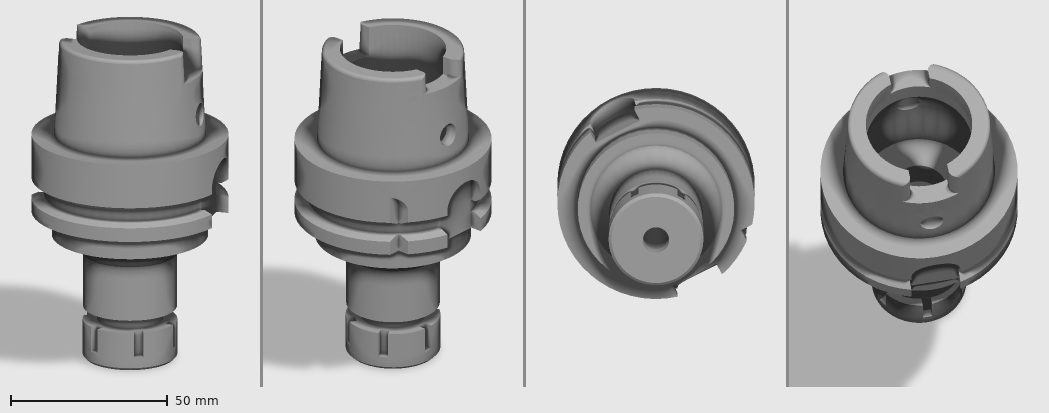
import cadquery as cq


total_length = 107.0
taper_length = 32.0
lower_groove_chamfer = 1.2
upper_groove_chamfer = 1.5
flange_bottom = total_length - 58.0
flange_top = total_length - taper_length
groove_bottom = flange_bottom + 5.8
groove_top = flange_bottom + 9.8
collar_bottom = flange_bottom - 8.0
shank_top = collar_bottom - 6.0
shank_bottom = 16.9
nut_height = 12.7

flange_diameter = 63.0
groove_diameter = 55.0
groove_ledge_diameter = 58.4
collar_diameter = 50.0
shank_diameter = 30.0
taper_bottom_diameter = 48.6
taper_ratio = 0.1
taper_tip_diameter = taper_bottom_diameter - taper_ratio * taper_length
tip_fillet = 1.3
cone_top_diameter = shank_diameter + 2 * (collar_bottom - shank_top)

bore_diameter = 34.0
undercut_diameter = 40.0
undercut_top = total_length - 13.2
undercut_bottom = total_length - 26.0
cavity_floor = total_length - 44.9
cavity_floor_diameter = 37.5
counterbore_diameter = 18.2
counterbore_depth = 10.7
passage_diameter = 8.3

cross_hole_diameter = 7.5
cross_hole_level = total_length - 23.0

drive_slot_width = 12.5
drive_slot_corner = 2.4
shallow_slot_depth = 6.2
deep_slot_depth = 10.3

keyway_width = 15.9
keyway_floor = 26.5
keyway_top = total_length - 37.1
notch_width = 10.7
notch_floor = 20.3
notch_edge = 20.0
notch_top = total_length - 37.5

collet_diameter = 21.2
collet_length = 31.5
nut_diameter = 30.3
nut_chamfer = 1.0
nut_slot_count = 6
nut_slot_width = 3.0
nut_slot_length = 8.2
nut_slot_floor = 12.6


def cylinder(diameter, bottom, top):
    """Solid cylinder on the Z axis between two levels."""
    return cq.Workplane("XY").workplane(offset=bottom).circle(diameter / 2).extrude(top - bottom)


def revolve_half_profile(points):
    """Turn a closed (radius, level) outline about the Z axis."""
    return cq.Workplane("XZ").polyline(points).close().revolve(360, (0, 0, 0), (0, 1, 0))


def make_turned_blank():
    """Outer turned shape of the holder, with a sharp taper tip."""
    return revolve_half_profile([
        (0, shank_bottom),
        (shank_diameter / 2, shank_bottom),
        (shank_diameter / 2, shank_top),
        (cone_top_diameter / 2, collar_bottom),
        (collar_diameter / 2, collar_bottom),
        (collar_diameter / 2, flange_bottom),
        (flange_diameter / 2, flange_bottom),
        (flange_diameter / 2, groove_bottom - lower_groove_chamfer),
        (groove_ledge_diameter / 2, groove_bottom),
        (groove_diameter / 2, groove_bottom),
        (groove_diameter / 2, groove_top),
        (groove_ledge_diameter / 2, groove_top),
        (flange_diameter / 2, groove_top + upper_groove_chamfer),
        (flange_diameter / 2, flange_top),
        (taper_bottom_diameter / 2, flange_top),
        (taper_tip_diameter / 2, total_length),
        (0, total_length),
    ])


def make_cavity():
    """Stepped hollow from the taper tip down to the collet socket."""
    clamping_space = revolve_half_profile([
        (0, cavity_floor),
        (cavity_floor_diameter / 2, cavity_floor),
        (undercut_diameter / 2, undercut_bottom),
        (undercut_diameter / 2, undercut_top),
        (bore_diameter / 2, undercut_top),
        (bore_diameter / 2, total_length),
        (0, total_length),
    ])
    counterbore = cylinder(counterbore_diameter, cavity_floor - counterbore_depth, cavity_floor)
    passage = cylinder(passage_diameter, shank_bottom, cavity_floor)
    socket = cylinder(collet_diameter, shank_bottom, collet_length)
    return clamping_space.union(counterbore).union(passage).union(socket)


def make_cross_hole():
    """Hole along X through both sides of the taper wall."""
    return (
        cq.Workplane("YZ")
        .center(0, cross_hole_level)
        .circle(cross_hole_diameter / 2)
        .extrude(flange_diameter / 2, both=True)
    )


def cut_drive_slot(holder, side, depth):
    """Slot in the taper tip on the +X (side = 1) or -X (side = -1) side, its mouth flared by round corners."""
    reach = taper_bottom_diameter / 2
    slot = cq.Workplane("XY").box(reach, drive_slot_width, depth, centered=(False, True, False))
    slot = slot.translate((min(0, side * reach), 0, total_length - depth))
    mouth_inside = side * (bore_diameter / 2 + drive_slot_corner)
    mouth_outside = side * reach
    mouth = cq.selectors.BoxSelector(
        (mouth_inside, -drive_slot_width, total_length - 3 * depth / 4),
        (mouth_outside, drive_slot_width, total_length - depth / 4),
    )
    return holder.cut(slot).edges(mouth).fillet(drive_slot_corner)


def make_arched_cutter(side, floor, centre_y, width, top):
    """Round-topped cutter running up from the flange bottom, outward from a flat floor at |X| = floor."""
    half_width = width / 2
    arch_level = top - half_width
    return (
        cq.Workplane("YZ")
        .workplane(offset=side * floor)
        .moveTo(centre_y - half_width, flange_bottom)
        .lineTo(centre_y - half_width, arch_level)
        .threePointArc((centre_y, top), (centre_y + half_width, arch_level))
        .lineTo(centre_y + half_width, flange_bottom)
        .close()
        .extrude(side * flange_diameter / 2)
    )


def make_holder():
    """Hollow-taper holder with its drive slots, keyways and orientation notch."""
    blank = make_turned_blank()
    rounded_blank = blank.faces(">Z").edges().fillet(tip_fillet)
    holder = blank.cut(make_cavity()).cut(make_cross_hole())
    for side, depth in ((-1, shallow_slot_depth), (1, deep_slot_depth)):
        holder = cut_drive_slot(holder, side, depth)
        holder = holder.cut(make_arched_cutter(side, keyway_floor, 0, keyway_width, keyway_top))
    holder = holder.intersect(rounded_blank)
    notch_centre = notch_edge + notch_width / 2
    return holder.cut(make_arched_cutter(-1, notch_floor, notch_centre, notch_width, notch_top))


def make_collet():
    """Plain sleeve plugged into the holder, its outer end flush with the nut face."""
    return cylinder(collet_diameter, 0, collet_length).cut(cylinder(passage_diameter, 0, collet_length))


def make_nut():
    """Clamping nut with spanner slots open at its upper face."""
    nut = cylinder(nut_diameter, 0, nut_height).faces("<Z").edges().chamfer(nut_chamfer)
    nut = nut.cut(cylinder(collet_diameter, 0, nut_height))
    slot = cq.Workplane("XY").box(
        nut_diameter, nut_slot_width, nut_slot_length, centered=(False, True, False)
    ).translate((nut_slot_floor, 0, nut_height - nut_slot_length))
    for index in range(nut_slot_count):
        nut = nut.cut(slot.rotate((0, 0, 0), (0, 0, 1), index * 360 / nut_slot_count))
    return nut


holder = make_holder().solids()
collet = make_collet().solids()
nut = make_nut().solids()

result = cq.Compound.makeCompound([holder.val(), collet.val(), nut.val()])